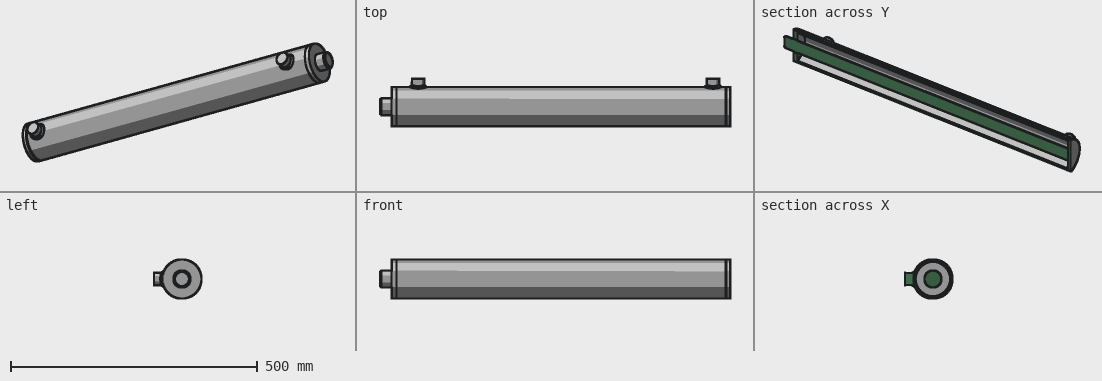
import cadquery as cq


overall_length = 710.0
rod_stick_out = 23.0
outer_diameter = 80.0
bore_diameter = 70.0

gland_thickness = 10.0
cap_thickness = 8.0
cap_weld_width = 2.0

rod_diameter = 35.0
rod_chamfer = 3.0

port_diameter = 26.0
port_face_y = 56.89
front_port_x = 54.0
port_spacing = 598.0
port_weld_leg = 4.0

barrel_length = overall_length - rod_stick_out
cap_start = barrel_length - cap_thickness
cap_weld_start = cap_start - cap_weld_width
tube_length = cap_weld_start - gland_thickness
port_positions = [front_port_x, front_port_x + port_spacing]


def disc(start_x, length, diameter):
    """Solid cylinder on the X axis."""
    return cq.Workplane("YZ", origin=(start_x, 0, 0)).circle(diameter / 2).extrude(length)


barrel = disc(0, barrel_length, outer_diameter)


def ring(start_x, length, inner_diameter):
    """Ring on the X axis, flush with the outside of the barrel."""
    return disc(start_x, length, outer_diameter).cut(disc(start_x, length, inner_diameter))


def make_rod():
    """Piston rod from its chamfered tip, through the gland, to the end cap."""
    rod = disc(-rod_stick_out, rod_stick_out + cap_start, rod_diameter)
    return rod.faces("<X").edges().chamfer(rod_chamfer)


def port_blank(port_x):
    """Port cylinder along +Y, running from the barrel axis to the port face."""
    return (
        cq.Workplane("XZ", origin=(port_x, 0, 0))
        .circle(port_diameter / 2)
        .extrude(-port_face_y)
    )


def make_port(port_x):
    """Port boss with a saddle foot that sits on the tube."""
    return port_blank(port_x).cut(barrel)


def make_port_weld(port_x):
    """Chamfer-shaped weld bead that follows the saddle joint of port and tube."""
    joined = barrel.union(port_blank(port_x))
    joint_edge = joined.edges(cq.selectors.BoxSelector(
        (port_x - port_diameter, bore_diameter / 2, -port_diameter),
        (port_x + port_diameter, outer_diameter / 2 + port_weld_leg, port_diameter),
    ))
    welded = joint_edge.chamfer(port_weld_leg)
    return welded.cut(barrel).cut(port_blank(port_x))


tube = ring(gland_thickness, tube_length, bore_diameter)
gland = ring(0, gland_thickness, rod_diameter)
cap_weld = ring(cap_weld_start, cap_weld_width, bore_diameter)
end_cap = disc(cap_start, cap_thickness, outer_diameter)
rod = make_rod()
ports = [make_port(port_x) for port_x in port_positions]
port_welds = [make_port_weld(port_x) for port_x in port_positions]

bodies = [tube, gland, cap_weld, end_cap, rod, *ports, *port_welds]
result = cq.Compound.makeCompound([body.val() for body in bodies])